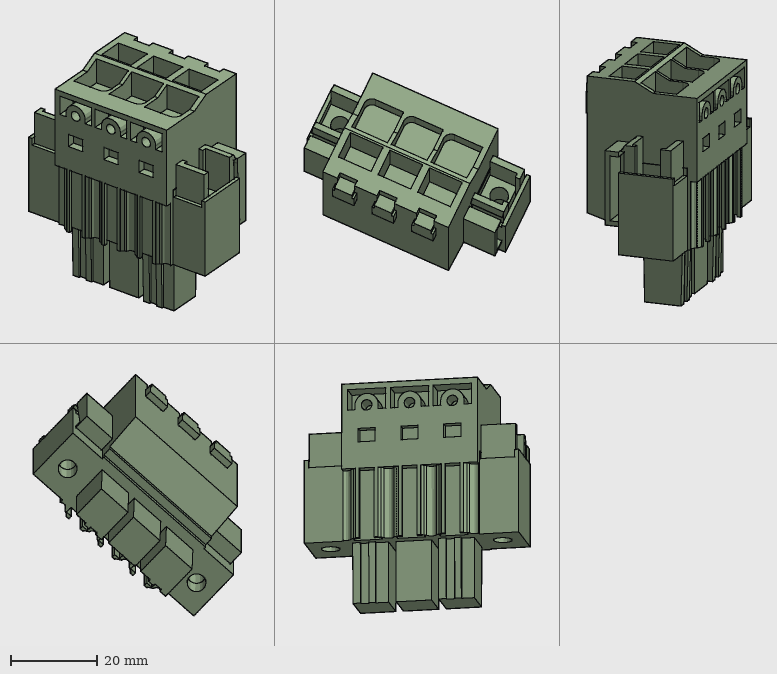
import cadquery as cq
import math


POLE_COUNT = 3
PITCH = 10.15
POLE_X = [(i - (POLE_COUNT - 1) / 2) * PITCH for i in range(POLE_COUNT)]

HOUSING_HALF = 16.05
BACK_Y = 27.35
TOP_Z = 53.9
FRONT_TOP_Z = 51.55
SLOPE_FRONT_Y = 10.9
SLOPE_BACK_Y = 15.5
BASE_Z = 14.45
HEEL_Z = 20.65
HEEL_INNER_Z = 18.15
STEP_BACK_Y = 18.5
STEP_FRONT_Y = 16.5
STEP_Z = 16.45

SKIRT_TOP_Z = 31.15
RIB_OUTER = 2.65
RIB_INNER = 1.8
RIB_DEPTH = 0.85
SLOT_HALF = 3.3
SLOT_DEPTH = 2.35
FLUTE_STEP = 0.2
FLUTE_HALF = 1.2
FLUTE_BOTTOM = 1.9
FLUTE_SLOPE_ANGLE = 30

WIRE_WIDTH = 9.15
WIRE_FRONT_Y = 5.6
WIRE_BACK_Y = 14.45
WIRE_FLOOR_Z = 46.9
WIRE_CORNER_R = 2.0
REAR_WIDTH = 8.35
REAR_FRONT_Y = 16.0
REAR_BACK_Y = 22.55
REAR_DEPTH = 10.8
FACE_WIDTH = 9.05
FACE_LOW_Z = 45.2
FACE_HIGH_Z = 50.15
FACE_DEPTH = 5.2
BOSS_R = 2.75
BOSS_Z = 46.25
BOSS_HOLE_R = 1.25
WINDOW_WIDTH = 4.05
WINDOW_LOW_Z = 37.45
WINDOW_HIGH_Z = 40.7
WINDOW_DEPTH = 2.0

PRONG_WIDTH = 8.35
PRONG_FLAT_Y = 5.25
PRONG_ROOT_BACK_Y = 14.0
PRONG_TIP_BACK_Y = 13.75
RIDGE_ROOT_Y = 4.3
RIDGE_TIP_Y = 4.7
PRONG_RIDGES = [(-PRONG_WIDTH / 2, -2.35), (-0.4, 1.2)]

OVERALL_WIDTH = 50.7
CUP_HALF = OVERALL_WIDTH / 2
CUP_FRONT_Y = 2.35
CUP_BACK_Y = 15.95
CUP_TOP_Z = 34.35
CUP_NOTCH_Z = 32.55
CUP_FLOOR_Z = 20.95
CUP_WALL = 0.95

FLANGE_WIDTH = 8.1
FLANGE_LEFT_X = [-CUP_HALF + CUP_WALL, CUP_HALF - CUP_WALL - FLANGE_WIDTH]
FLANGE_FRONT_Y = 3.35
FLANGE_BACK_Y = 14.95
FLANGE_TOP_Z = 40.85
PLATE_FRONT_Y = 5.95
PLATE_BACK_Y = 12.25
POCKET_FRONT_Y = 4.95
POCKET_BACK_Y = 13.3
POCKET_LEFT = 1.2
POCKET_FLOOR_Z = 30.4
SCREW_X = 4.05
SCREW_Y = 8.75
SCREW_R = 2.15
HOOK_TIP_Y = 15.75
HOOK_LOW_Z = 39.3
HOOK_TIP_Z = 39.5
HOOK_TOP_Y = 14.75
CLIP_BACK_Y = 19.7
CLIP_FRONT_Y = 16.35
CLIP_TOP_Z = 39.1
CLIP_THICK = 1.2
CLIP_WEB = 1.1
CLIP_WEB_FOOT_Y = 17.3

LEVER_BACK_Y = 28.9
LEVER_FRONT_Y = 25.85
LEVER_LOW_Z = 43.8
LEVER_STEP_Z = 48.95
LEVER_TOP_Z = 50.95
LEVER_WIDTH = 5.5
LEVER_STEM_WIDTH = 4.4


def block(x0, x1, y0, y1, z0, z1):
    """Box between two corners."""
    return cq.Workplane("XY").box(x1 - x0, y1 - y0, z1 - z0, centered=False).translate((x0, y0, z0))


def centered_block(x, width, y0, y1, z0, z1):
    """Box centred on x."""
    return block(x - width / 2, x + width / 2, y0, y1, z0, z1)


def side_profile(points, x0, width):
    """Outline of (y, z) points extruded along +X from x0."""
    return cq.Workplane("YZ").polyline(points).close().extrude(width).translate((x0, 0, 0))


def housing_block():
    outline = [
        (0, BASE_Z),
        (0, FRONT_TOP_Z),
        (SLOPE_FRONT_Y, FRONT_TOP_Z),
        (SLOPE_BACK_Y, TOP_Z),
        (BACK_Y, TOP_Z),
        (BACK_Y, HEEL_Z),
        (STEP_BACK_Y, HEEL_INNER_Z),
        (STEP_BACK_Y, STEP_Z),
        (STEP_FRONT_Y, STEP_Z),
        (STEP_FRONT_Y, BASE_Z),
    ]
    return side_profile(outline, -HOUSING_HALF, 2 * HOUSING_HALF)


def skirt_flute(x):
    """Round-bottomed flute halfway between two poles, with sloping shoulders."""
    half = PITCH / 2 - RIB_OUTER
    shoulder = FLUTE_STEP + (half - FLUTE_HALF) * math.tan(math.radians(FLUTE_SLOPE_ANGLE))
    return (
        cq.Workplane("XY", origin=(x, 0, BASE_Z))
        .moveTo(-half, 0)
        .lineTo(-half, FLUTE_STEP)
        .lineTo(-FLUTE_HALF, shoulder)
        .threePointArc((0, FLUTE_BOTTOM), (FLUTE_HALF, shoulder))
        .lineTo(half, FLUTE_STEP)
        .lineTo(half, 0)
        .close()
        .extrude(SKIRT_TOP_Z - BASE_Z)
    )


def skirt_slot(x):
    """T-slot in front of a pole: a narrow mouth between two ribs and a wider space behind them."""
    mouth = centered_block(x, 2 * RIB_INNER, 0, RIB_DEPTH, BASE_Z, SKIRT_TOP_Z)
    chamber = centered_block(x, 2 * SLOT_HALF, RIB_DEPTH, SLOT_DEPTH, BASE_Z, SKIRT_TOP_Z)
    return mouth.union(chamber)


def wire_pocket(x):
    """Pocket in the low front part of the top, with one rounded corner."""
    pocket = centered_block(x, WIRE_WIDTH, WIRE_FRONT_Y, WIRE_BACK_Y, WIRE_FLOOR_Z, TOP_Z)
    return pocket.edges("|Z and >X and <Y").fillet(WIRE_CORNER_R)


def rear_pocket(x):
    return centered_block(x, REAR_WIDTH, REAR_FRONT_Y, REAR_BACK_Y, TOP_Z - REAR_DEPTH, TOP_Z)


def face_pocket(x):
    """Front pocket that leaves an arched boss standing, with the hole in the boss."""
    pocket = centered_block(x, FACE_WIDTH, 0, FACE_DEPTH, FACE_LOW_Z, FACE_HIGH_Z)
    front = cq.Workplane("XZ", origin=(x, 0, BOSS_Z))
    boss = front.circle(BOSS_R).extrude(-FACE_DEPTH)
    boss_foot = centered_block(x, 2 * BOSS_R, 0, FACE_DEPTH, FACE_LOW_Z, BOSS_Z)
    hole = front.circle(BOSS_HOLE_R).extrude(-FACE_DEPTH)
    return pocket.cut(boss).cut(boss_foot).union(hole)


def window(x):
    return centered_block(x, WINDOW_WIDTH, 0, WINDOW_DEPTH, WINDOW_LOW_Z, WINDOW_HIGH_Z)


def lever_notch(x):
    return centered_block(x, LEVER_STEM_WIDTH, LEVER_FRONT_Y, BACK_Y, LEVER_LOW_Z, TOP_Z)


def prong(x, ridged):
    """Plug prong with a flat front and a tapered back; a ridged one has tapered ridges on the front."""
    outline = [
        (PRONG_FLAT_Y, BASE_Z),
        (PRONG_ROOT_BACK_Y, BASE_Z),
        (PRONG_TIP_BACK_Y, 0),
        (PRONG_FLAT_Y, 0),
    ]
    body = side_profile(outline, x - PRONG_WIDTH / 2, PRONG_WIDTH)
    if ridged:
        ridge_outline = [
            (PRONG_FLAT_Y, BASE_Z),
            (PRONG_FLAT_Y, 0),
            (RIDGE_TIP_Y, 0),
            (RIDGE_ROOT_Y, BASE_Z),
        ]
        for left, right in PRONG_RIDGES:
            body = body.union(side_profile(ridge_outline, x + left, right - left))
    return body


def cups():
    """Blocks on both ends of the housing that hold the screw flanges."""
    return block(-CUP_HALF, CUP_HALF, CUP_FRONT_Y, CUP_BACK_Y, BASE_Z, CUP_TOP_Z)


def flange_seat(left):
    """Space for one screw flange: cavity, wall notches, slot for the clip foot and screw hole."""
    right = left + FLANGE_WIDTH
    cavity = block(left, right, FLANGE_FRONT_Y, FLANGE_BACK_Y, CUP_FLOOR_Z, CUP_TOP_Z)
    notches = block(left, right, CUP_FRONT_Y, CUP_BACK_Y, CUP_NOTCH_Z, CUP_TOP_Z)
    foot_slot = block(left, right, FLANGE_BACK_Y, CUP_BACK_Y, CUP_FLOOR_Z, CUP_FLOOR_Z + CLIP_THICK)
    return cavity.union(notches).union(foot_slot).union(screw_hole(left))


def screw_hole(left):
    hole = cq.Workplane("XY", origin=(left + SCREW_X, SCREW_Y, BASE_Z))
    return hole.circle(SCREW_R).extrude(FLANGE_TOP_Z - BASE_Z)


def make_housing():
    housing = housing_block().union(cups())
    for i, x in enumerate(POLE_X):
        is_end_pole = i in (0, POLE_COUNT - 1)
        housing = housing.union(prong(x, is_end_pole))
        for cutter in (skirt_slot, wire_pocket, rear_pocket, face_pocket, window, lever_notch):
            housing = housing.cut(cutter(x))
    for i in range(POLE_COUNT + 1):
        housing = housing.cut(skirt_flute((i - POLE_COUNT / 2) * PITCH))
    for left in FLANGE_LEFT_X:
        housing = housing.cut(flange_seat(left))
    return housing


def flange_clip(left):
    """C-shaped clip behind the flange, stiffened by a web whose free edge slants."""
    right = left + FLANGE_WIDTH
    wall_y = CLIP_BACK_Y - CLIP_THICK
    foot_top_z = CUP_FLOOR_Z + CLIP_THICK
    lip_low_z = CLIP_TOP_Z - CLIP_THICK
    back = block(left, right, wall_y, CLIP_BACK_Y, CUP_FLOOR_Z, CLIP_TOP_Z)
    foot = block(left, right, FLANGE_BACK_Y, CLIP_BACK_Y, CUP_FLOOR_Z, foot_top_z)
    lip = block(left, right, CLIP_FRONT_Y, CLIP_BACK_Y, lip_low_z, CLIP_TOP_Z)
    web_outline = [
        (wall_y, foot_top_z),
        (CLIP_WEB_FOOT_Y, foot_top_z),
        (CLIP_FRONT_Y, lip_low_z),
        (wall_y, lip_low_z),
    ]
    web = side_profile(web_outline, right - CLIP_WEB, CLIP_WEB)
    return back.union(foot).union(lip).union(web)


def make_flange(left):
    """Screw flange: base with two upright plates, a latch hook and a clip at the back."""
    right = left + FLANGE_WIDTH
    pocket_left = left + POCKET_LEFT
    base = block(left, right, FLANGE_FRONT_Y, FLANGE_BACK_Y, CUP_FLOOR_Z, FLANGE_TOP_Z)
    side_gap = block(left, pocket_left, PLATE_FRONT_Y, PLATE_BACK_Y, CUP_FLOOR_Z, FLANGE_TOP_Z)
    pocket = block(pocket_left, right, POCKET_FRONT_Y, POCKET_BACK_Y, POCKET_FLOOR_Z, FLANGE_TOP_Z)
    hook_outline = [
        (PLATE_BACK_Y, HOOK_LOW_Z),
        (HOOK_TIP_Y, HOOK_LOW_Z),
        (HOOK_TIP_Y, HOOK_TIP_Z),
        (HOOK_TOP_Y, FLANGE_TOP_Z),
        (PLATE_BACK_Y, FLANGE_TOP_Z),
    ]
    hook = side_profile(hook_outline, left, FLANGE_WIDTH)
    plate_corner = block(left, right, HOOK_TOP_Y, FLANGE_BACK_Y, HOOK_LOW_Z, FLANGE_TOP_Z)
    body = base.cut(plate_corner).union(hook).cut(side_gap).cut(pocket).cut(screw_hole(left))
    return body.union(flange_clip(left))


def make_lever(x):
    """Release lever: a stem in the housing notch and a wider plate behind the housing."""
    stem = centered_block(x, LEVER_STEM_WIDTH, LEVER_FRONT_Y, LEVER_BACK_Y, LEVER_LOW_Z, LEVER_TOP_Z)
    plate = centered_block(x, LEVER_WIDTH, BACK_Y, LEVER_BACK_Y, LEVER_LOW_Z, LEVER_STEP_Z)
    return stem.union(plate)


housing = make_housing()
flanges = [make_flange(left) for left in FLANGE_LEFT_X]
levers = [make_lever(x) for x in POLE_X]

result = cq.Compound.makeCompound(
    [housing.val(), *[flange.val() for flange in flanges], *[lever.val() for lever in levers]]
)